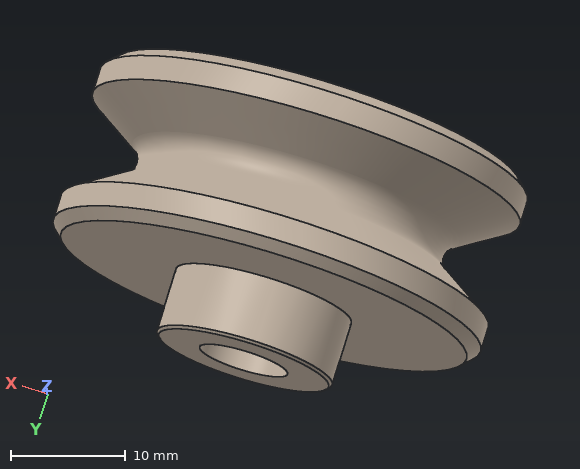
import cadquery as cq
import math

wheel_diameter = 39.0
wheel_width = 16.0
rim_chamfer = 1.0

hub_diameter = 16.0
hub_length = 6.0
hub_chamfer = 0.25

bore_diameter = 8.0

groove_root_diameter = 28.0
groove_root_radius = 2.0
groove_flank_angle = math.radians(34.0)

wheel_radius = wheel_diameter / 2
hub_radius = hub_diameter / 2
total_length = wheel_width + hub_length


def make_wheel():
    """Disc with both rim edges chamfered."""
    disc = cq.Workplane("XZ").circle(wheel_radius).extrude(-wheel_width)
    return disc.edges().chamfer(rim_chamfer)


def make_hub():
    """Round hub running the full length, chamfered at its free end."""
    hub = cq.Workplane("XZ").circle(hub_radius).extrude(-total_length)
    return hub.faces(">Y").edges().chamfer(hub_chamfer)


def make_groove():
    """Ring to be removed: straight flanks tangent to a root arc."""
    middle = wheel_width / 2
    root_radius = groove_root_diameter / 2
    root_arc_center = root_radius + groove_root_radius

    tangent_half_width = groove_root_radius * math.cos(groove_flank_angle)
    tangent_radius = root_arc_center - groove_root_radius * math.sin(groove_flank_angle)

    flank_height = wheel_radius - tangent_radius
    rim_half_width = tangent_half_width + flank_height * math.tan(groove_flank_angle)

    profile = (
        cq.Workplane("XY")
        .moveTo(wheel_radius, middle - rim_half_width)
        .lineTo(tangent_radius, middle - tangent_half_width)
        .threePointArc((root_radius, middle), (tangent_radius, middle + tangent_half_width))
        .lineTo(wheel_radius, middle + rim_half_width)
        .close()
    )
    return profile.revolve(360, (0, 0, 0), (0, 1, 0))


def make_bore():
    """Through bore on the wheel axis."""
    return cq.Workplane("XZ").circle(bore_diameter / 2).extrude(-total_length)


result = make_wheel().union(make_hub()).cut(make_groove()).cut(make_bore())